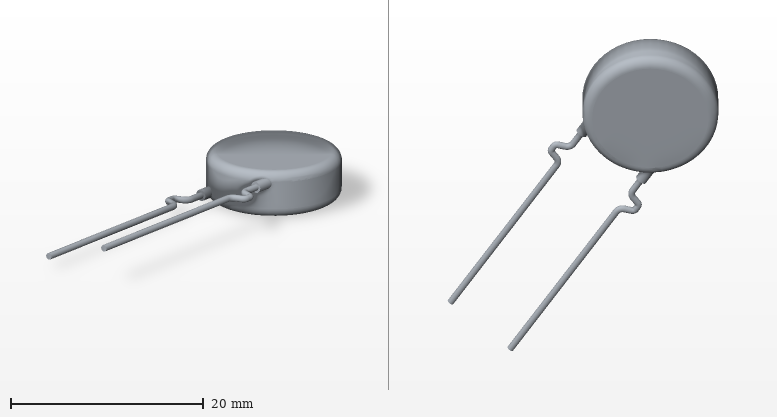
import cadquery as cq
import math


disc_diameter = 14.1
disc_thickness = 5.0
rim_radius = 1.0

overall_length = 39.1
lead_spacing = 7.43
lead_height = 1.3
lead_diameter = 0.7
collar_diameter = 1.2
collar_end = 7.4

kink_start = 8.9
kink_angle = 70.0
bend_radius = 0.8
tip_radius = 0.4
tip_length = 0.4
flank_length = 0.8

lead_x = lead_spacing / 2
lead_end = overall_length - disc_diameter / 2
slope = math.radians(kink_angle)

lead_turns = (0, 180)


def turn_about_y(shape, angle):
    """The shape turned about the Y axis by an angle in degrees."""
    return shape.rotate((0, 0, 0), (0, 1, 0), angle)


def collar_face_plane():
    """Plane on the collar's free face, normal to the lead axis."""
    return cq.Plane(origin=(lead_x, -collar_end, lead_height), xDir=(1, 0, 0), normal=(0, -1, 0))


def make_collar():
    """Collar of the +X lead, running from inside the disc to its free face."""
    return (
        cq.Workplane(collar_face_plane())
        .circle(collar_diameter / 2)
        .extrude(-collar_end)
    )


def make_body():
    """Disc with rounded rims and a collar for each lead, all one coating."""
    coating = (
        cq.Workplane("XY", origin=(0, 0, -disc_thickness / 2))
        .circle(disc_diameter / 2)
        .extrude(disc_thickness)
        .edges("%CIRCLE")
        .fillet(rim_radius)
    )
    collar = make_collar()
    for turn in lead_turns:
        coating = coating.union(turn_about_y(collar, turn))
    return coating


def lead_path():
    """Centre line of the +X lead: straight, outward kink, straight."""

    def bend_point(radius, angle):
        """Offset (outward, along the lead) reached by a bend that starts along the lead axis."""
        return radius * (1 - math.cos(angle)), radius * math.sin(angle)

    bend_mid = bend_point(bend_radius, slope / 2)
    bend_end = bend_point(bend_radius, slope)
    tip_mid = bend_point(tip_radius, slope / 2)
    tip_bend = bend_point(tip_radius, slope)
    flank_out = flank_length * math.sin(slope)
    flank_along = flank_length * math.cos(slope)

    shoulder = (bend_end[0] + flank_out, bend_end[1] + flank_along)
    tip = (shoulder[0] + tip_bend[0], shoulder[1] + tip_bend[1])
    tip_bend_mid = (tip[0] - tip_mid[0], tip[1] - tip_mid[1])
    kink_length = 2 * tip[1] + tip_length

    def at(offset):
        """Point at an offset measured from the start of the kink."""
        return lead_x + offset[0], -kink_start - offset[1]

    def mirrored(offset):
        """The matching point on the far half of the kink."""
        return at((offset[0], kink_length - offset[1]))

    return (
        cq.Workplane("XY", origin=(0, 0, lead_height))
        .moveTo(lead_x, -collar_end)
        .lineTo(lead_x, -kink_start)
        .threePointArc(at(bend_mid), at(bend_end))
        .lineTo(*at(shoulder))
        .threePointArc(at(tip_bend_mid), at(tip))
        .lineTo(*mirrored(tip))
        .threePointArc(mirrored(tip_bend_mid), mirrored(shoulder))
        .lineTo(*mirrored(bend_end))
        .threePointArc(mirrored(bend_mid), mirrored((0, 0)))
        .lineTo(lead_x, -lead_end)
    )


def make_lead():
    """Round wire of the +X lead, butting against the free face of its collar."""
    return (
        cq.Workplane(collar_face_plane())
        .circle(lead_diameter / 2)
        .sweep(lead_path())
    )


body = make_body()
leads = [turn_about_y(make_lead(), turn) for turn in lead_turns]

result = cq.Compound.makeCompound([body.val(), *[lead.val() for lead in leads]])